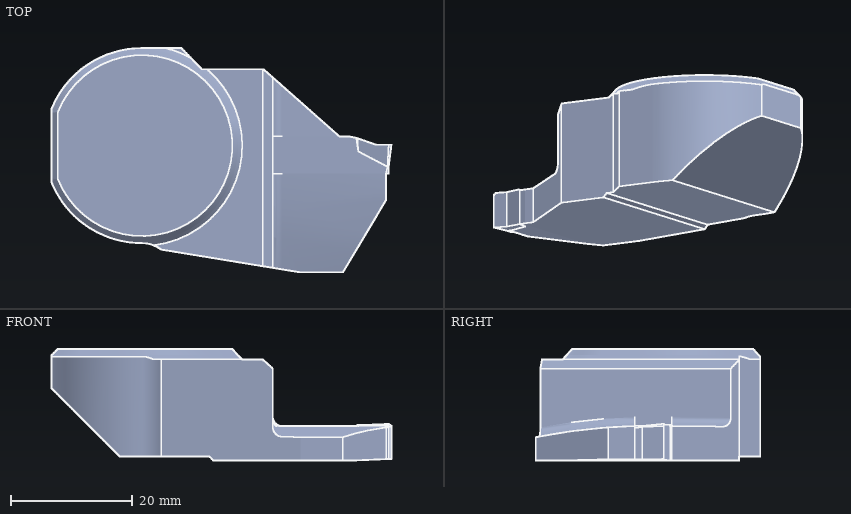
import cadquery as cq
import math


LENGTH = 56.1
WIDTH = 37.0
HEIGHT = 18.45
MARGIN = 5.6

SHANK_RADIUS = 16.1
SHANK_X = 14.9
SHANK_Y = WIDTH - SHANK_RADIUS
FLAT_HALF_WIDTH = math.sqrt(SHANK_RADIUS**2 - SHANK_X**2)
DISC_RADIUS = 15.9
DISC_CHAMFER = 1.05
DISC_CHAMFER_RUN = 0.95
DISC_EDGE_Z = HEIGHT - DISC_CHAMFER

BLOCK_TOP = 16.7
WALL_X = 36.5
WALL_CHAMFER_X = 1.7
WALL_CHAMFER_Z = 1.5
SKIRT_HEIGHT = DISC_EDGE_Z - BLOCK_TOP
LUG_X = 21.45
BACK_X = 24.8
BACK_Y = 33.55
BACK_END_X = 34.95
WAIST_X = 18.1
WAIST_Y = 3.75

PAD_HEIGHT = 0.7
PAD_START_X = 26.7
PAD_STEP_RUN = 0.6
BEVEL_Z = 11.95
RELIEF_START_X = 49.6
RELIEF_RISE = 0.3

STRIP_Z = 5.7
STRIP_FRONT_Y = 16.3
STRIP_BACK_Y = 22.45
STRIP_END_X = 55.65
SHOULDER_END_X = 55.2
SHOULDER_END_Y = 11.95
SHOULDER_MID_DROP = 0.2
SHOULDER_EDGE_DROP = 1.85
BACK_SHOULDER_DROP = 0.15
ROOT_RADIUS = 1.45
TOE_X = 48.1
HEEL_X = 41.05
BACK_SHOULDER_X = 47.5
STRIP_CORNER_X = 49.15

TIP_TOP = 6.05
TIP_BACK_Y = 21.1
TIP_REAR = (50.25, 22.2)
TIP_INNER = (50.6, 19.95)
TIP_NOSE = (55.2, 17.55)
TIP_RIDGE_X = 53.5
RELIEF_WIDTH = 3.1
REAR_LEAN = 0.35
FRONT_CHAMFER_X = 0.45
FRONT_CHAMFER_Z = 0.35


def upper_side(origin, along, normal):
    """Large block lying on the outer side of a plane."""
    size = 2 * LENGTH
    plane = cq.Plane(origin=origin, xDir=along, normal=normal)
    return cq.Workplane(plane).rect(size, size).extrude(MARGIN)


def head_outline():
    """Plan outline of the whole tool, tip included."""
    waist_drop = SHANK_Y - SHANK_RADIUS - WAIST_Y
    waist_run = WAIST_X - SHANK_X
    waist_radius = (waist_run**2 + waist_drop**2) / (2 * waist_drop)
    half_angle = math.atan2(waist_run, waist_radius - waist_drop) / 2
    waist_mid = (
        SHANK_X + waist_radius * math.sin(half_angle),
        SHANK_Y - SHANK_RADIUS - waist_radius * (1 - math.cos(half_angle)),
    )
    mid_angle = (math.pi / 2 + math.atan2(FLAT_HALF_WIDTH, SHANK_X)) / 2
    mid_x = SHANK_X - SHANK_RADIUS * math.cos(mid_angle)
    mid_rise = SHANK_RADIUS * math.sin(mid_angle)
    return (
        cq.Workplane("XY")
        .moveTo(0, SHANK_Y - FLAT_HALF_WIDTH)
        .lineTo(0, SHANK_Y + FLAT_HALF_WIDTH)
        .threePointArc((mid_x, SHANK_Y + mid_rise), (SHANK_X, WIDTH))
        .lineTo(LUG_X, WIDTH)
        .lineTo(BACK_X, BACK_Y)
        .lineTo(BACK_END_X, BACK_Y)
        .lineTo(BACK_SHOULDER_X, STRIP_BACK_Y)
        .lineTo(STRIP_CORNER_X, STRIP_BACK_Y)
        .lineTo(*TIP_REAR)
        .lineTo(TIP_RIDGE_X, TIP_BACK_Y)
        .lineTo(LENGTH, TIP_BACK_Y)
        .lineTo(STRIP_END_X, TIP_NOSE[1])
        .lineTo(STRIP_END_X, STRIP_FRONT_Y)
        .lineTo(SHOULDER_END_X, STRIP_FRONT_Y)
        .lineTo(SHOULDER_END_X, SHOULDER_END_Y)
        .lineTo(TOE_X, 0)
        .lineTo(HEEL_X, 0)
        .lineTo(WAIST_X, WAIST_Y)
        .threePointArc(waist_mid, (SHANK_X, SHANK_Y - SHANK_RADIUS))
        .threePointArc((mid_x, SHANK_Y - mid_rise), (0, SHANK_Y - FLAT_HALF_WIDTH))
        .close()
    )


def wall_block():
    """Full-width block behind the wall, with a chamfered top edge."""
    return (
        cq.Workplane("XZ")
        .moveTo(0, 0)
        .lineTo(WALL_X, 0)
        .lineTo(WALL_X, BLOCK_TOP - WALL_CHAMFER_Z)
        .lineTo(WALL_X - WALL_CHAMFER_X, BLOCK_TOP)
        .lineTo(0, BLOCK_TOP)
        .close()
        .extrude(-WIDTH)
    )


def rooted_shoulder(profile):
    """Blade shoulder joined to the wall by a root fillet."""
    floor = profile.extrude(LENGTH - WALL_X)
    box = floor.val().BoundingBox()
    wall = cq.Workplane("XY").box(
        WALL_X - BACK_X, box.ymax - box.ymin, BLOCK_TOP - WALL_CHAMFER_Z, centered=False
    ).translate((BACK_X, box.ymin, 0))
    section = wall.union(floor)
    root_line = cq.selectors.BoxSelector(
        (WALL_X - ROOT_RADIUS, box.ymin - 0.55, STRIP_Z - ROOT_RADIUS - SHOULDER_EDGE_DROP),
        (WALL_X + ROOT_RADIUS, box.ymax + 0.55, STRIP_Z + ROOT_RADIUS),
    )
    return section.edges(root_line).edges("not |Z").fillet(ROOT_RADIUS)


def blade_and_wall():
    """Wall block with the flat strip and both filleted shoulders."""
    front_profile = (
        cq.Workplane("YZ", origin=(WALL_X, 0, 0))
        .moveTo(0, 0)
        .lineTo(STRIP_FRONT_Y, 0)
        .lineTo(STRIP_FRONT_Y, STRIP_Z)
        .threePointArc(
            (SHOULDER_END_Y, STRIP_Z - SHOULDER_MID_DROP), (0, STRIP_Z - SHOULDER_EDGE_DROP)
        )
        .close()
    )
    strip = cq.Workplane("XY").box(
        LENGTH - BACK_X, STRIP_BACK_Y - STRIP_FRONT_Y, STRIP_Z, centered=False
    ).translate((BACK_X, STRIP_FRONT_Y, 0))
    back_profile = (
        cq.Workplane("YZ", origin=(WALL_X, 0, 0))
        .moveTo(STRIP_BACK_Y, 0)
        .lineTo(WIDTH, 0)
        .lineTo(WIDTH, STRIP_Z - BACK_SHOULDER_DROP)
        .lineTo(STRIP_BACK_Y, STRIP_Z)
        .close()
    )
    body = wall_block().union(strip)
    return body.union(rooted_shoulder(front_profile)).union(rooted_shoulder(back_profile))


def skirt():
    """45 degree skirt flaring from the disc edge down to the block top."""
    return (
        cq.Workplane("XZ", origin=(SHANK_X, SHANK_Y, 0))
        .moveTo(0, BLOCK_TOP)
        .lineTo(DISC_RADIUS + SKIRT_HEIGHT, BLOCK_TOP)
        .lineTo(DISC_RADIUS, DISC_EDGE_Z)
        .lineTo(0, DISC_EDGE_Z)
        .close()
        .revolve(360, (0, 0), (0, 1))
    )


def disc():
    """Disc with the shank flat and a chamfered top edge; its foot sits inside the skirt."""
    round_disc = (
        cq.Workplane("XZ", origin=(SHANK_X, SHANK_Y, 0))
        .moveTo(0, BLOCK_TOP)
        .lineTo(DISC_RADIUS, BLOCK_TOP)
        .lineTo(DISC_RADIUS, DISC_EDGE_Z)
        .lineTo(DISC_RADIUS - DISC_CHAMFER_RUN, HEIGHT)
        .lineTo(0, HEIGHT)
        .close()
        .revolve(360, (0, 0), (0, 1))
    )
    chamfered_flat = (
        cq.Workplane("XZ", origin=(0, -MARGIN, 0))
        .lineTo(0, DISC_EDGE_Z)
        .lineTo(DISC_CHAMFER + MARGIN, HEIGHT + MARGIN)
        .lineTo(LENGTH, HEIGHT + MARGIN)
        .lineTo(LENGTH, 0)
        .close()
        .extrude(-WIDTH - 2 * MARGIN)
    )
    return round_disc.intersect(chamfered_flat)


def underside_cut():
    """Clearance below the shank, with the 45 degree bevel and the sloping pad step."""
    return (
        cq.Workplane("XZ")
        .moveTo(-MARGIN, -MARGIN)
        .lineTo(PAD_START_X, -MARGIN)
        .lineTo(PAD_START_X, 0)
        .lineTo(PAD_START_X - PAD_STEP_RUN, PAD_HEIGHT)
        .lineTo(BEVEL_Z - PAD_HEIGHT, PAD_HEIGHT)
        .lineTo(-MARGIN, BEVEL_Z + MARGIN)
        .close()
        .extrude(-WIDTH)
    )


def end_relief_cut():
    """Shallow wedge that lifts the underside toward the cutting end."""
    return (
        cq.Workplane("XZ")
        .moveTo(RELIEF_START_X, 0)
        .lineTo(LENGTH, RELIEF_RISE)
        .lineTo(LENGTH, 0)
        .close()
        .extrude(-WIDTH)
    )


def front_edge_cut():
    """Sloping chamfer along the upper edge of the cutting end."""
    edge_start = cq.Vector(STRIP_END_X, TIP_BACK_Y, TIP_TOP)
    edge_end = cq.Vector(STRIP_END_X - FRONT_CHAMFER_X, STRIP_FRONT_Y, STRIP_Z)
    along = edge_end - edge_start
    fall = cq.Vector(FRONT_CHAMFER_X, 0, -FRONT_CHAMFER_Z)
    cut = upper_side(edge_start, along, along.cross(fall))
    strip_zone = cq.Workplane("XY").box(
        LENGTH, TIP_BACK_Y - STRIP_FRONT_Y, HEIGHT, centered=False
    ).translate((TIP_RIDGE_X, STRIP_FRONT_Y, 0))
    return cut.intersect(strip_zone)


def tip_prism():
    """Full-height prism over the tip footprint, also the seat cut in the head."""
    return (
        cq.Workplane("XY")
        .polyline([
            TIP_REAR,
            TIP_INNER,
            TIP_NOSE,
            (STRIP_END_X, TIP_NOSE[1]),
            (LENGTH, TIP_BACK_Y),
            (TIP_RIDGE_X, TIP_BACK_Y),
        ])
        .close()
        .extrude(TIP_TOP)
    )


def tip_relief_cut():
    """Plane rising from the strip along the inner seam of the tip."""
    seam = cq.Vector(*TIP_NOSE) - cq.Vector(*TIP_INNER)
    away = cq.Vector(-seam.y, seam.x, 0).normalized()
    slope = away * RELIEF_WIDTH + cq.Vector(0, 0, TIP_TOP - STRIP_Z)
    return upper_side((*TIP_INNER, STRIP_Z), seam, seam.cross(slope))


def tip_rear_cut():
    """Leaning rear wall above the strip."""
    seam = cq.Vector(*TIP_REAR) - cq.Vector(*TIP_INNER)
    slope = cq.Vector(REAR_LEAN, 0, TIP_TOP - STRIP_Z)
    return upper_side((*TIP_INNER, STRIP_Z), seam, slope.cross(seam))


def make_head():
    outline = head_outline().extrude(HEIGHT + MARGIN)
    head = blade_and_wall().intersect(outline)
    head = head.union(skirt().intersect(outline)).union(disc())
    head = head.cut(underside_cut()).cut(end_relief_cut()).cut(front_edge_cut())
    return head.cut(tip_prism())


def make_tip():
    tip = tip_prism().cut(tip_relief_cut()).cut(tip_rear_cut())
    return tip.cut(end_relief_cut()).cut(front_edge_cut())


head = make_head()
tip = make_tip()
result = cq.Compound.makeCompound([head.val(), tip.val()])